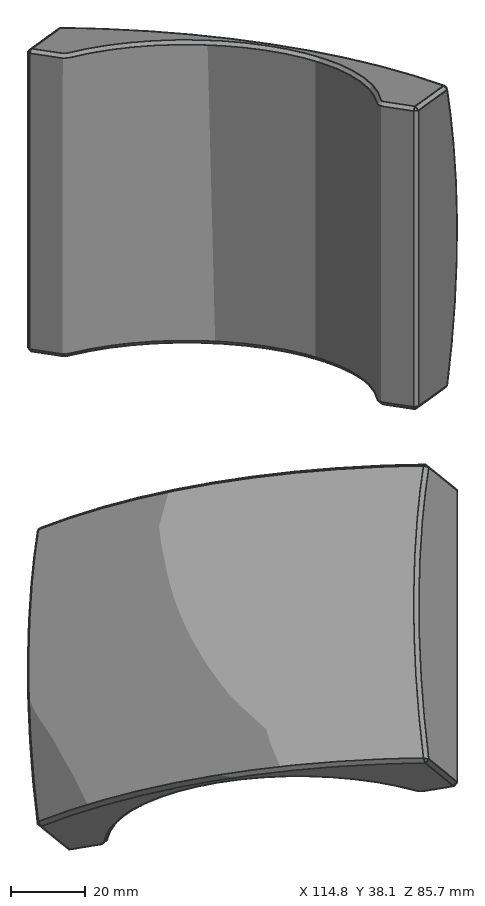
import cadquery as cq

length = 114.8
depth = 38.1
height = 85.7

dome_radius = 152.6
bore_radius = 51.2
bore_crown = 28.3
corner_radius = 3.0
edge_chamfer = 1.0


def domed_block():
    """Block whose +Y side is a shallow spherical dome."""
    block = cq.Workplane("XY").box(length, depth, height, centered=(True, False, True))
    sphere = cq.Workplane("XY").sphere(dome_radius).translate((0, depth - dome_radius, 0))
    return block.intersect(sphere)


def channel():
    """Cylinder along Z that hollows the -Y side."""
    return (
        cq.Workplane("XY")
        .center(0, bore_crown - bore_radius)
        .circle(bore_radius)
        .extrude(height / 2, both=True)
    )


body = domed_block().cut(channel())

channel_corners = cq.selectors.BoxSelector(
    (-length / 2 + corner_radius, -corner_radius, -height / 2),
    (length / 2 - corner_radius, corner_radius, height / 2),
)
body = body.edges("|Z").edges(channel_corners).fillet(corner_radius)

result = body.faces("|Z or |X").edges().chamfer(edge_chamfer)